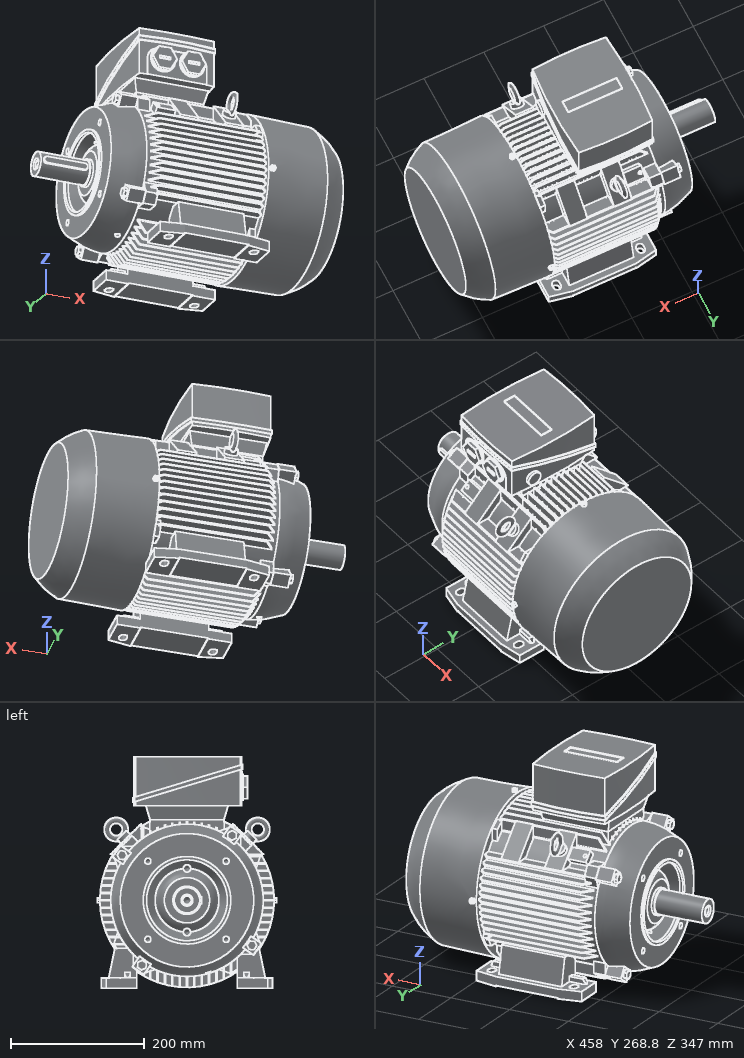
import cadquery as cq
import math


overall_length = 458.0
lip_x = 75.5
flange_x = 78.5
shoulder_x = 80.0
hub_face_x = 84.7
lip_end_x = 80.5
shield_lug_x = 103.5
groove_floor_x = 107.5
frame_front_x = 130.5
fin_front_x = 137.0
cover_x = 323.5

shaft_radius = 19.0
shoulder_radius = 21.0
key_start_x = 4.0
key_end_x = 75.5
key_width = 10.0
key_top = 22.0
centre_hole_radius = 6.5
centre_hole_depth = 27.5
centre_sink_radius = 8.5

flange_radius = 100.0
shield_mid_radius = 109.5
frame_radius = 114.0
lip_outer_radius = 65.5
lip_inner_radius = 60.5
groove_radius = 47.5
hub_radius = 34.0
hub_bulge_x = 90.5
hub_bulge_radius = 42.5
flange_hole_circle_radius = 82.65
flange_hole_radius = 4.5
flange_hole_depth = 23.0
groove_hole_radius = 5.5
groove_hole_depth = 9.0
shield_lug_size = 21.0
shield_lug_distance = 118.0
lug_angle = 34.8
bolt_head_diameter = 14.5
bolt_head_height = 5.5
drain_hole_x = 119.5
drain_hole_radius = 3.5
drain_hole_depth = 7.0
drain_hole_angle = 163.5

fin_pitch = 11.0
fins_each_way = 6
fin_thickness = 2.0
fin_radius = 129.5
fin_root = 68.5
fin_front_chamfer = 13.5
fin_rear_chamfer = 7.5
frame_lug_flat_y = -80.5
frame_lug_flat_bottom = 79.0
frame_lug_corner_z = 100.0
frame_lug_peak = (-65.5, 109.5)
frame_lug_inner = (-46.5, 103.0)
front_lug_end_x = 150.5
rear_lug_x = 314.5
pad_length = 29.8
pad_front_x = 186.0
pad_pitch = 74.0
pad_inner = 68.5
pad_outer = 114.5
earth_block_x = 155.3
earth_block_width = 20.0
earth_block_top = 126.5
earth_block_height = 27.5
earth_hole_x = 160.5
earth_hole_radius = 2.7
earth_hole_depth = 7.0

foot_bottom = -132.0
foot_plate_top = -116.0
foot_relief = 1.5
foot_inner_y = 75.0
foot_end_y = 121.0
foot_middle_y = 128.2
foot_front_x = 149.5
foot_rear_x = 328.5
foot_taper_length = 37.0
foot_hole_y = 108.0
foot_hole_width = 12.0
foot_hole_length = 16.0
foot_hole_front_x = 169.0
foot_hole_rear_x = 309.0
column_front_x = 185.0
column_rear_x = 292.0
column_base_y = 117.2
column_top_y = 108.0
column_top_z = -72.0
rib_y = 89.0
rib_width = 8.5
rib_height = 8.2
rib_length = 27.5
rib_slope = 4.5

cover_front_radius = 130.5
cover_rim_x = 421.0
cover_rim_radius = 128.2
cover_bulge_x = 439.0
cover_bulge_radius = 118.5
cover_end_radius = 103.5
cover_screw_x = 329.5
cover_screw_diameter = 8.5
cover_screw_top = 134.42
cover_screw_socket_radius = 2.0
cover_screw_socket_depth = 2.5

box_centre_x = 195.0
box_centre_y = -1.5
box_bottom = 141.0
box_top = 215.0
box_corner_x = 61.5
box_corner_y = 78.5
box_bulge_x = 65.5
box_bulge_y = 81.0
rim_overhang = 1.6
rim_height = 7.0
rim_centre_z = 175.0
rim_slope = -0.303
neck_bottom = 120.5
neck_top_length = 121.0
neck_top_width = 123.0
neck_bottom_size = 111.0
label_length = 90.0
label_width = 19.5
label_depth = 1.5
plug_pitch = 47.5
plug_z = 169.0
plug_diameter = 39.5
plug_across_flats = 34.5
plug_flange_thickness = 2.7
plug_head_height = 6.5
plug_slot_length = 17.5
plug_slot_width = 3.5
plug_slot_depth = 1.5
plug_plate_length = 97.0
plug_plate_top = 186.0
plug_plate_corner = 18.5
plug_plate_face_y = -81.5
side_plug_y = -42.0
side_plug_z = 160.0
side_plug_diameter = 23.0
side_plug_face_x = 264.0

eyebolt_ring_radius = 13.5
eyebolt_ring_half_depth = 4.5
eyebolt_ring_half_width = 3.5
eyebolt_ring_distance = 149.8
eyebolt_collar_radius = 10.0
eyebolt_collar_height = 8.2


def turned(points_plane):
    """Revolve an outline drawn as (X, radius) about the shaft axis."""
    return points_plane.close().revolve(360, (0, 0, 0), (1, 0, 0))


def rod(start_x, end_x, radius):
    """Cylinder on the shaft axis."""
    return cq.Workplane("YZ", origin=(start_x, 0, 0)).circle(radius).extrude(end_x - start_x)


def drill(start_x, depth, radius):
    """Drilled hole along X with a right-angled conical point, on the shaft axis."""
    return turned(
        cq.Workplane("XY")
        .moveTo(start_x, 0)
        .lineTo(start_x, radius)
        .lineTo(start_x + depth, radius)
        .lineTo(start_x + depth + radius, 0)
    )


def block(start_x, end_x, y_range, z_range):
    """Axis-aligned block given by its limits."""
    return cq.Workplane("XY").box(
        end_x - start_x, y_range[1] - y_range[0], z_range[1] - z_range[0], centered=False
    ).translate((start_x, y_range[0], z_range[0]))


def around_axis(body, angle):
    """Turn a body about the shaft axis; positive angles carry +Z towards -Y."""
    return body.rotate((0, 0, 0), (1, 0, 0), angle)


def lug(start_x, end_x, size, distance, angle):
    """Square bar along X whose centre lies at a distance from the shaft axis."""
    half = size / 2
    bar = block(start_x, end_x, (-half, half), (distance - half, distance + half))
    return around_axis(bar, angle)


quarter_turns = [90 * i for i in range(4)]
front_lug_angles = [lug_angle + turn for turn in quarter_turns]


def make_shaft():
    shaft = rod(0, shoulder_x, shaft_radius).union(rod(shoulder_x, frame_front_x, shoulder_radius))
    key = (
        cq.Workplane("XZ")
        .center((key_start_x + key_end_x) / 2, 0)
        .slot2D(key_end_x - key_start_x, key_width)
        .extrude(key_top)
    )
    sink_depth = centre_sink_radius - centre_hole_radius
    sink = turned(
        cq.Workplane("XY")
        .lineTo(0, centre_sink_radius)
        .lineTo(sink_depth, centre_hole_radius)
        .lineTo(sink_depth, 0)
    )
    return shaft.union(key).cut(sink).cut(drill(0, centre_hole_depth, centre_hole_radius))


def make_end_shield():
    shield = turned(
        cq.Workplane("XY")
        .moveTo(hub_face_x, shoulder_radius)
        .lineTo(hub_face_x, hub_radius)
        .threePointArc((hub_bulge_x, hub_bulge_radius), (groove_floor_x, groove_radius))
        .lineTo(lip_end_x, lip_inner_radius)
        .lineTo(lip_x, lip_inner_radius)
        .lineTo(lip_x, lip_outer_radius)
        .lineTo(flange_x, lip_outer_radius)
        .lineTo(flange_x, flange_radius)
        .threePointArc((shield_lug_x, shield_mid_radius), (frame_front_x, frame_radius))
        .lineTo(frame_front_x, shoulder_radius)
    )
    for angle in front_lug_angles:
        shield = shield.union(
            lug(shield_lug_x, frame_front_x, shield_lug_size, shield_lug_distance, angle)
        )
        bolt_head = (
            cq.Workplane("YZ", origin=(shield_lug_x, 0, shield_lug_distance))
            .polygon(6, bolt_head_diameter)
            .extrude(-bolt_head_height)
        )
        shield = shield.union(around_axis(bolt_head, angle))
    flange_hole = drill(flange_x, flange_hole_depth, flange_hole_radius)
    groove_hole = drill(lip_x, groove_floor_x + groove_hole_depth - lip_x, groove_hole_radius)
    for turn in quarter_turns:
        shield = shield.cut(around_axis(flange_hole.translate((0, 0, flange_hole_circle_radius)), turn + 45))
    for turn in (0, 180):
        shield = shield.cut(around_axis(groove_hole.translate((0, 0, groove_radius)), turn))
    drain_hole = (
        cq.Workplane("XY", origin=(drain_hole_x, 0, frame_radius))
        .circle(drain_hole_radius)
        .extrude(-drain_hole_depth)
    )
    return shield.cut(around_axis(drain_hole, drain_hole_angle))


def make_fins():
    """Parallel fins on four sides, trimmed to a cylinder with chamfered ends."""
    half = fin_thickness / 2
    fins = []
    for turn in quarter_turns:
        for i in range(-fins_each_way, fins_each_way + 1):
            y = i * fin_pitch
            fin = block(fin_front_x, cover_x, (y - half, y + half), (fin_root, fin_radius))
            fins.append(around_axis(fin, turn).val())
    envelope = turned(
        cq.Workplane("XY")
        .moveTo(fin_front_x, 0)
        .lineTo(fin_front_x, frame_radius)
        .lineTo(fin_front_x + fin_front_chamfer, fin_radius)
        .lineTo(cover_x - fin_rear_chamfer, fin_radius)
        .lineTo(cover_x, fin_radius - fin_rear_chamfer)
        .lineTo(cover_x, 0)
    )
    return [fin.intersect(envelope.val()) for fin in fins]


def make_pads():
    """Pads at 45 degrees on both upper corners, for the eyebolts."""
    pads = []
    for side in (-1, 1):
        for i in range(2):
            pads.append(
                cq.Workplane("YZ", origin=(pad_front_x + i * pad_pitch, 0, 0))
                .polyline(
                    [
                        (side * pad_inner, pad_inner),
                        (side * pad_inner, pad_outer),
                        (side * pad_outer, pad_inner),
                    ]
                )
                .close()
                .extrude(pad_length)
                .val()
            )
    return pads


def make_earth_block(angle):
    """Small block with a screw hole in front of a pad."""
    half = earth_block_width / 2
    body = block(
        earth_block_x, pad_front_x, (-half, half), (earth_block_top - earth_block_height, earth_block_top)
    )
    hole = (
        cq.Workplane("XY", origin=(earth_hole_x, 0, earth_block_top))
        .circle(earth_hole_radius)
        .extrude(-earth_hole_depth)
    )
    return around_axis(body.cut(hole), angle)


def make_frame_lug(start_x, end_x):
    """Bolt lug on the upper -Y corner, with one upright flat side."""
    return (
        cq.Workplane("YZ", origin=(start_x, 0, 0))
        .polyline(
            [
                (frame_lug_flat_y, frame_lug_flat_bottom),
                (frame_lug_flat_y, frame_lug_corner_z),
                frame_lug_peak,
                frame_lug_inner,
                (frame_lug_inner[0], frame_lug_flat_bottom),
            ]
        )
        .close()
        .extrude(end_x - start_x)
    )


def make_foot():
    """Foot on the +Y side: plate with tapered ends, column and two ribs."""
    taper_end_front = foot_front_x + foot_taper_length
    taper_end_rear = foot_rear_x - foot_taper_length
    plate = (
        cq.Workplane("XY", origin=(0, 0, foot_bottom))
        .polyline(
            [
                (foot_front_x, foot_inner_y),
                (foot_front_x, foot_end_y),
                (taper_end_front, foot_middle_y),
                (taper_end_rear, foot_middle_y),
                (foot_rear_x, foot_end_y),
                (foot_rear_x, foot_inner_y),
            ]
        )
        .close()
        .extrude(foot_plate_top - foot_bottom)
    )
    relief = block(
        taper_end_front,
        taper_end_rear,
        (foot_inner_y, foot_middle_y),
        (foot_bottom, foot_bottom + foot_relief),
    )
    holes = (
        cq.Workplane("XY", origin=(0, 0, foot_bottom))
        .pushPoints([(foot_hole_front_x, foot_hole_y), (foot_hole_rear_x, foot_hole_y)])
        .slot2D(foot_hole_length, foot_hole_width, 90)
        .extrude(foot_plate_top - foot_bottom)
    )
    column = (
        cq.Workplane("YZ", origin=(column_front_x, 0, 0))
        .polyline(
            [
                (foot_inner_y, foot_plate_top),
                (column_base_y, foot_plate_top),
                (column_top_y, column_top_z),
                (foot_inner_y, column_top_z),
            ]
        )
        .close()
        .extrude(column_rear_x - column_front_x)
    )
    rib_top = foot_plate_top + rib_height
    rib = (
        cq.Workplane("XZ", origin=(0, rib_y + rib_width / 2, 0))
        .polyline(
            [
                (column_front_x - rib_length, foot_plate_top),
                (column_front_x - rib_length + rib_slope, rib_top),
                (column_rear_x + rib_length - rib_slope, rib_top),
                (column_rear_x + rib_length, foot_plate_top),
            ]
        )
        .close()
        .extrude(rib_width)
    )
    rib_plan_length = column_rear_x - column_front_x + 2 * rib_length
    rounded_rib = (
        cq.Workplane("XY", origin=((column_front_x + column_rear_x) / 2, rib_y, foot_plate_top))
        .slot2D(rib_plan_length, rib_width)
        .extrude(rib_height)
        .intersect(rib)
    )
    return plate.cut(relief).cut(holes).union(column).union(rounded_rib)


def make_frame():
    frame = rod(frame_front_x, cover_x, frame_radius).val()
    half_base = neck_bottom_size / 2
    box_base = block(
        box_centre_x - half_base, box_centre_x + half_base, (-half_base, half_base), (0, neck_bottom)
    )
    foot = make_foot()
    additions = [box_base.val(), foot.val(), foot.mirror("XZ").val()]
    additions += make_fins()
    additions += make_pads()
    additions += [make_earth_block(angle).val() for angle in (-45, 45)]
    front_lug = make_frame_lug(frame_front_x, front_lug_end_x)
    rear_lug = make_frame_lug(rear_lug_x, cover_x).mirror("XZ")
    for turn in quarter_turns:
        additions.append(around_axis(front_lug, turn).val())
        additions.append(around_axis(rear_lug, turn).val())
    return cq.Workplane(frame.fuse(*additions))


def make_fan_cover():
    cover = turned(
        cq.Workplane("XY")
        .moveTo(cover_x, 0)
        .lineTo(cover_x, cover_front_radius)
        .lineTo(cover_rim_x, cover_rim_radius)
        .threePointArc((cover_bulge_x, cover_bulge_radius), (overall_length, cover_end_radius))
        .lineTo(overall_length, 0)
    )
    screw = (
        cq.Workplane("XY", origin=(cover_screw_x, 0, 0))
        .polygon(6, cover_screw_diameter)
        .extrude(cover_screw_top)
    )
    socket = (
        cq.Workplane("XY", origin=(cover_screw_x, 0, cover_screw_top))
        .circle(cover_screw_socket_radius)
        .extrude(-cover_screw_socket_depth)
    )
    for angle in (-90, 0, 90):
        cover = cover.union(around_axis(screw, angle)).cut(around_axis(socket, angle))
    return cover


def box_outline(bottom_z):
    """Rectangle with four slightly bulging sides."""
    x = box_corner_x
    y = box_corner_y
    return (
        cq.Workplane("XY", origin=(box_centre_x, box_centre_y, bottom_z))
        .moveTo(-x, -y)
        .threePointArc((0, -box_bulge_y), (x, -y))
        .threePointArc((box_bulge_x, 0), (x, y))
        .threePointArc((0, box_bulge_y), (-x, y))
        .threePointArc((-box_bulge_x, 0), (-x, -y))
        .close()
    )


def make_plug(x):
    """Hexagonal cable-entry plug with a flange and a slot, facing -Y."""
    flange_face = plug_plate_face_y - plug_flange_thickness
    head_face = flange_face - plug_head_height
    flange = (
        cq.Workplane("XZ", origin=(x, plug_plate_face_y, plug_z))
        .circle(plug_diameter / 2)
        .extrude(plug_flange_thickness)
    )
    head = (
        cq.Workplane("XZ", origin=(x, flange_face, plug_z))
        .polygon(6, plug_across_flats / math.cos(math.pi / 6))
        .extrude(plug_head_height)
    )
    slot = (
        cq.Workplane("XZ", origin=(x, head_face, plug_z))
        .rect(plug_slot_length, plug_slot_width)
        .extrude(-plug_slot_depth)
    )
    return flange.union(head).cut(slot)


def make_terminal_box():
    height = box_top - box_bottom
    box = box_outline(box_bottom).extrude(height)
    half_slab = 2 * box_bulge_y
    rise = rim_slope * half_slab
    half_rim = rim_height / 2
    slab = (
        cq.Workplane("YZ", origin=(box_centre_x, box_centre_y, rim_centre_z))
        .polyline(
            [
                (-half_slab, -rise - half_rim),
                (half_slab, rise - half_rim),
                (half_slab, rise + half_rim),
                (-half_slab, -rise + half_rim),
            ]
        )
        .close()
        .extrude(2 * box_bulge_x, both=True)
    )
    rim = box_outline(box_bottom).offset2D(rim_overhang, "intersection").extrude(height).intersect(slab)
    neck = (
        cq.Workplane("XY", origin=(box_centre_x, 0, neck_bottom))
        .rect(neck_bottom_size, neck_bottom_size)
        .workplane(offset=box_bottom - neck_bottom)
        .rect(neck_top_length, neck_top_width)
        .loft()
    )
    label = (
        cq.Workplane("XY", origin=(box_centre_x, box_centre_y, box_top))
        .rect(label_length, label_width)
        .extrude(-label_depth)
    )
    half_plate = plug_plate_length / 2
    plug_plate = (
        block(
            box_centre_x - half_plate,
            box_centre_x + half_plate,
            (plug_plate_face_y, box_centre_y),
            (box_bottom, plug_plate_top),
        )
        .edges("|Y and >Z")
        .fillet(plug_plate_corner)
    )
    plate_clearance = plug_plate.translate((0, plug_plate_face_y - box_centre_y, 0))
    side_plug = (
        cq.Workplane("YZ", origin=(box_centre_x, side_plug_y, side_plug_z))
        .circle(side_plug_diameter / 2)
        .extrude(side_plug_face_x - box_centre_x)
    )
    box = box.cut(plate_clearance).union(rim).union(neck).cut(label).union(plug_plate).union(side_plug)
    for side in (-1, 1):
        box = box.union(make_plug(box_centre_x + side * plug_pitch / 2))
    return box


def make_eyebolt(x, angle):
    """Ring on a round collar that stands on a corner pad."""
    pad_height = (pad_inner + pad_outer) / math.sqrt(2)
    collar = (
        cq.Workplane("XY", origin=(x, 0, pad_height))
        .circle(eyebolt_collar_radius)
        .extrude(eyebolt_collar_height)
    )
    ring = (
        cq.Workplane("XZ", origin=(x, 0, eyebolt_ring_distance + eyebolt_ring_radius))
        .ellipse(eyebolt_ring_half_width, eyebolt_ring_half_depth)
        .revolve(360, (0, -eyebolt_ring_radius), (1, -eyebolt_ring_radius))
    )
    return around_axis(collar.union(ring), angle)


shaft = make_shaft()
end_shield = make_end_shield()
fan_cover = make_fan_cover()
terminal_box = make_terminal_box()
frame = make_frame().cut(terminal_box)
eyebolts = []
for pad_index, angle in ((0, -45), (1, 45)):
    eyebolt_x = pad_front_x + pad_index * pad_pitch + pad_length / 2
    eyebolts.append(make_eyebolt(eyebolt_x, angle).val())

result = cq.Compound.makeCompound(
    [
        shaft.val(),
        end_shield.val(),
        frame.val(),
        fan_cover.val(),
        terminal_box.val(),
        *eyebolts,
    ]
)